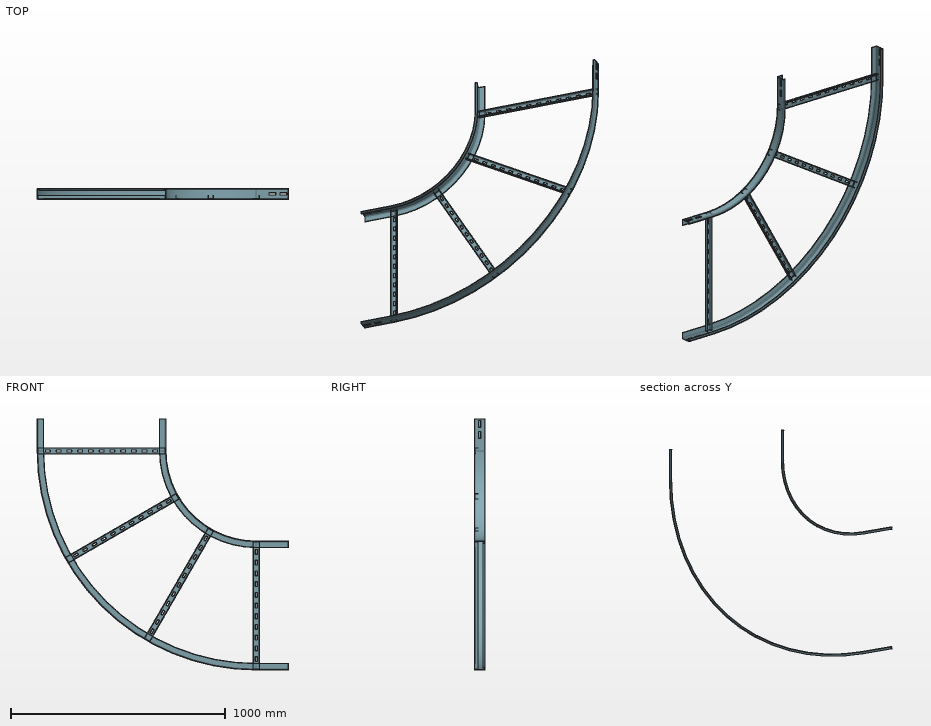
import cadquery as cq
import math


overall_size = 1170.0
straight_length = 150.0
outer_web_radius = overall_size - straight_length
inner_web_radius = 420.0
rail_depth = 50.0
front_flange = 30.0
back_flange = 10.0
lip_length = 9.0
sheet = 1.8
bend_radius = 4.1
front_y = -rail_depth / 2
back_y = rail_depth / 2

splice_slot_length = 30.0
splice_slot_width = 8.8
splice_slot_from_end = (23.0, 75.0)

rung_angles = (0, 30, 60, 90)
rung_width = 29.0
rung_depth = 16.0
rung_bend_radius = 2.1
rung_slot_count = 11
rung_slot_span = 500.0
rung_slot_length = 21.0
rung_slot_width = 8.0

bend_axis = ((0, 0, 0), (0, 1, 0))


def rail_profile(web_radius, inward):
    """Rail section on the XY plane; `inward` is the X direction in which the flanges point."""
    web = -web_radius
    inside_bend = bend_radius - sheet

    def point(from_web, y):
        return (web + inward * from_web, y)

    def bend(section, end, radius):
        return section.radiusArc(end, inward * radius)

    section = cq.Workplane("XY").moveTo(*point(front_flange, front_y))
    section = section.lineTo(*point(bend_radius, front_y))
    section = bend(section, point(0, front_y + bend_radius), bend_radius)
    section = section.lineTo(*point(0, back_y - bend_radius))
    section = bend(section, point(bend_radius, back_y), bend_radius)
    section = section.lineTo(*point(back_flange - bend_radius, back_y))
    section = bend(section, point(back_flange, back_y - bend_radius), bend_radius)
    section = section.lineTo(*point(back_flange, back_y - lip_length))
    section = section.lineTo(*point(back_flange - sheet, back_y - lip_length))
    section = section.lineTo(*point(back_flange - sheet, back_y - bend_radius))
    section = bend(section, point(back_flange - bend_radius, back_y - sheet), -inside_bend)
    section = section.lineTo(*point(bend_radius, back_y - sheet))
    section = bend(section, point(sheet, back_y - bend_radius), -inside_bend)
    section = section.lineTo(*point(sheet, front_y + bend_radius))
    section = bend(section, point(bend_radius, front_y + sheet), -inside_bend)
    section = section.lineTo(*point(front_flange, front_y + sheet))
    return section.close()


def splice_slots(web_radius, direction):
    """Slot cutters for a straight leg that runs along Z in the given direction."""
    places = [(0, direction * (straight_length - gap)) for gap in splice_slot_from_end]
    return (
        cq.Workplane("YZ", origin=(-web_radius, 0, 0))
        .pushPoints(places)
        .rect(splice_slot_width, splice_slot_length)
        .extrude(bend_radius, both=True)
    )


def straight_leg(web_radius, inward, direction):
    leg = rail_profile(web_radius, inward).extrude(direction * straight_length)
    return leg.cut(splice_slots(web_radius, direction))


def make_rail(web_radius, inward):
    upper_leg = straight_leg(web_radius, inward, 1)
    side_leg = straight_leg(web_radius, inward, -1).rotate(*bend_axis, -90)
    curve = rail_profile(web_radius, inward).revolve(90, (0, 0, 0), (0, -1, 0))
    return upper_leg.union(curve, clean=False).union(side_leg, clean=False)


def make_rung():
    """Slotted channel along -X, open at the back, ending where the rail bends begin."""
    half_width = rung_width / 2
    far_end = math.sqrt((outer_web_radius - bend_radius) ** 2 - half_width**2)
    near_end = inner_web_radius + bend_radius
    length = far_end - near_end
    middle = (far_end + near_end) / 2
    rung_front = front_y + sheet
    rung = (
        cq.Workplane("XZ", origin=(-middle, rung_front, 0))
        .rect(length, rung_width)
        .extrude(-rung_depth)
        .edges("|X and <Y")
        .fillet(rung_bend_radius)
    )
    hollow = (
        cq.Workplane("XZ", origin=(-middle, rung_front + sheet, 0))
        .rect(length, rung_width - 2 * sheet)
        .extrude(-rung_depth)
        .edges("|X and <Y")
        .fillet(rung_bend_radius - sheet)
    )
    slots = (
        cq.Workplane("XZ", origin=(-middle, rung_front, 0))
        .rarray(rung_slot_span / (rung_slot_count - 1), 12, rung_slot_count, 1)
        .rect(rung_slot_length, rung_slot_width)
        .extrude(-rung_depth)
    )
    return rung.cut(hollow).cut(slots)


outer_rail = make_rail(outer_web_radius, 1)
inner_rail = make_rail(inner_web_radius, -1)

rungs = []
for angle in rung_angles:
    rungs.append(make_rung().rotate(*bend_axis, -angle))

result = cq.Compound.makeCompound(
    [outer_rail.val(), inner_rail.val(), *[rung.val() for rung in rungs]]
)